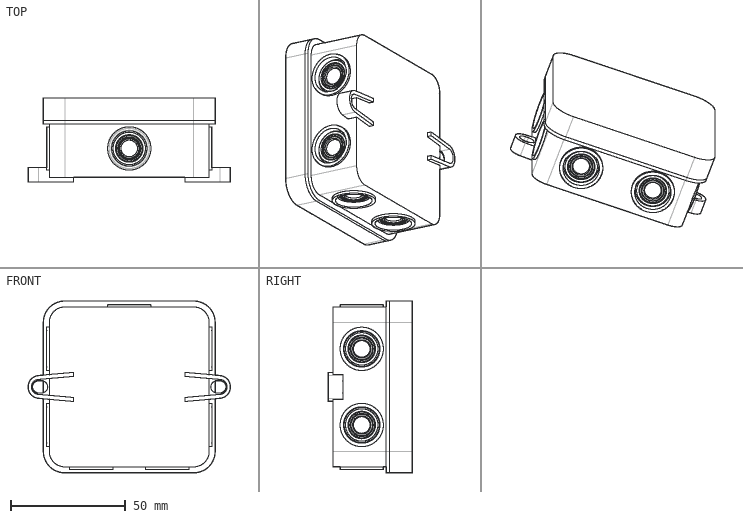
import cadquery as cq
import math

LENGTH = 88.3
BOX_SIZE = 69.7
BOX_DEPTH = 23.2
BOX_CORNER = 6.8
FLANGE_STEP = 2.65
FLANGE_DEPTH = 1.5
LID_DEPTH = 10.0

LUG_RADIUS = 5.0
LUG_INNER_RADIUS = 3.3
LUG_TIP_WALL = 1.5
LUG_SPLAY = 5.0
LUG_TIP_X = 24.3
LUG_HEIGHT = 6.4
LUG_DROP = 2.0
WEB_THICKNESS = 2.0
SLOT_LENGTH = 6.6
SLOT_WIDTH = 5.2
SLOT_CENTRE_X = 38.8

BOSS_RADIUS = 9.4
BOSS_HEIGHT = 1.15
KNOCKOUT_Y = 12.6
KNOCKOUT_PITCH = 33.2
MOUTH_RADIUS = 7.9
WELL_RADIUS = 7.7
WELL_DEPTH = 2.8
MEMBRANE_RADIUS = 7.1
MEMBRANE_RISE = 0.9
GROOVE_OUTER = 6.0
GROOVE_INNER = 4.7
GROOVE_FLOOR = 0.6
GROOVE_DEPTH = 0.35
CENTRE_RADIUS = 4.0
CENTRE_FLOOR_RADIUS = 3.6
CENTRE_DEPTH = 0.7
ROUNDED_CENTRE_RADIUS = 4.2
LIP_OUTER_FILLET = 0.6
LIP_INNER_FILLET = 0.8

FLANGE_SIZE = BOX_SIZE + 2 * FLANGE_STEP
FLANGE_CORNER = BOX_CORNER + FLANGE_STEP
BOX_HALF = BOX_SIZE / 2
HALF_PITCH = KNOCKOUT_PITCH / 2
LUG_BACK_Y = LUG_HEIGHT - LUG_DROP


def plate(size, corner, start_y, depth):
    """A square plate with rounded corners, growing along +Y from start_y."""
    return (
        cq.Workplane("XZ", origin=(0, start_y, 0))
        .rect(size, size)
        .extrude(-depth)
        .edges("|Y")
        .fillet(corner)
    )


def lug_block(radius, end_x):
    """A solid U: a bend of the given radius reaching end_x, and its arms, closed across the tips."""
    centre_x = end_x - radius
    splay = math.radians(LUG_SPLAY)
    tangent_x = centre_x + radius * math.sin(splay)
    tangent_z = radius * math.cos(splay)
    tip_z = tangent_z + (tangent_x - LUG_TIP_X) * math.tan(splay)
    return (
        cq.Workplane("XZ", origin=(0, -LUG_DROP, 0))
        .moveTo(LUG_TIP_X, tip_z)
        .lineTo(tangent_x, tangent_z)
        .threePointArc((end_x, 0), (tangent_x, -tangent_z))
        .lineTo(LUG_TIP_X, -tip_z)
        .close()
        .extrude(-LUG_HEIGHT)
    )


def make_lug():
    """The lug on the +X side."""
    hollow = lug_block(LUG_INNER_RADIUS, LENGTH / 2 - LUG_TIP_WALL)
    strip = lug_block(LUG_RADIUS, LENGTH / 2).cut(hollow)
    web_layer = (
        cq.Workplane("XZ", origin=(0, LUG_BACK_Y, 0))
        .rect(LENGTH, LENGTH)
        .extrude(WEB_THICKNESS)
    )
    web = hollow.intersect(web_layer)
    slot = (
        cq.Workplane("XZ")
        .center(SLOT_CENTRE_X, 0)
        .slot2D(SLOT_LENGTH, SLOT_WIDTH)
        .extrude(-LUG_HEIGHT)
    )
    return strip.union(web.cut(slot))


def knockout_boss(rounded):
    """The round boss of a knockout, standing on Z = 0."""
    boss = cq.Workplane("XY").circle(BOSS_RADIUS).extrude(BOSS_HEIGHT)
    if rounded:
        boss = boss.faces(">Z").edges().fillet(LIP_OUTER_FILLET)
    return boss


def knockout_recess(rounded):
    """The stepped hollow of a knockout whose wall surface lies on Z = 0."""
    well_z = BOSS_HEIGHT - WELL_DEPTH
    membrane_z = well_z + MEMBRANE_RISE
    groove_z = membrane_z - GROOVE_DEPTH
    groove_middle = (GROOVE_OUTER + GROOVE_INNER) / 2
    centre_radius = ROUNDED_CENTRE_RADIUS if rounded else CENTRE_RADIUS
    profile = (
        cq.Workplane("XZ")
        .moveTo(0, BOSS_HEIGHT)
        .lineTo(MOUTH_RADIUS + (LIP_INNER_FILLET if rounded else 0), BOSS_HEIGHT)
    )
    if rounded:
        lip_bottom = BOSS_HEIGHT - LIP_INNER_FILLET
        profile = profile.radiusArc((MOUTH_RADIUS, lip_bottom), -LIP_INNER_FILLET)
    return (
        profile.lineTo(WELL_RADIUS, well_z)
        .lineTo(MEMBRANE_RADIUS, membrane_z)
        .lineTo(GROOVE_OUTER, membrane_z)
        .lineTo(groove_middle + GROOVE_FLOOR / 2, groove_z)
        .lineTo(groove_middle - GROOVE_FLOOR / 2, groove_z)
        .lineTo(GROOVE_INNER, membrane_z)
        .lineTo(centre_radius, membrane_z)
        .lineTo(CENTRE_FLOOR_RADIUS, membrane_z - CENTRE_DEPTH)
        .lineTo(0, membrane_z - CENTRE_DEPTH)
        .close()
        .revolve(360, (0, 0, 0), (0, 1, 0))
    )


def place_on_side(shape, turn, offset):
    """Move a shape from Z = 0 to a side of the box; turn = 0 is the +Z side."""
    return shape.translate((offset, KNOCKOUT_Y, BOX_HALF)).rotate((0, 0, 0), (0, 1, 0), turn)


knockouts = [(0, 0, True)]
for side_turn in (90, 180, 270):
    for side_offset in (-HALF_PITCH, HALF_PITCH):
        knockouts.append((side_turn, side_offset, False))

box = plate(BOX_SIZE, BOX_CORNER, 0, BOX_DEPTH)
box = box.union(plate(FLANGE_SIZE, FLANGE_CORNER, BOX_DEPTH, FLANGE_DEPTH))

lug = make_lug().cut(plate(BOX_SIZE, BOX_CORNER, 0, BOX_DEPTH))
box = box.union(lug).union(lug.mirror("YZ"))

for turn, offset, rounded in knockouts:
    box = box.union(place_on_side(knockout_boss(rounded), turn, offset))
    box = box.cut(place_on_side(knockout_recess(rounded), turn, offset))

lid = plate(FLANGE_SIZE, FLANGE_CORNER, BOX_DEPTH + FLANGE_DEPTH, LID_DEPTH)

result = cq.Compound.makeCompound([box.val(), lid.val()])